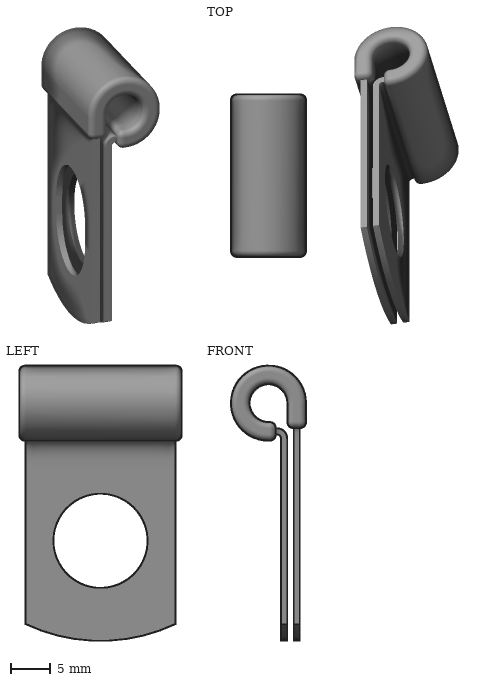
import cadquery as cq
import math

DIAGONAL = math.sqrt(0.5)
UPRIGHT = 90

loop_diameter = 9.55
overall_height = 34.925
strip_thickness = 0.80625
strip_width = 19.05
cushion_thickness = 0.79375
long_end_straight = 2.38125
short_end_straight = 0.14
bend_inner_radius = 0.5
hole_diameter = 11.90625
slot_length = 14.2875
hole_height = 12.7
tip_sagitta = 2.15

loop_radius = loop_diameter / 2
strip_outer_radius = loop_radius - cushion_thickness
strip_inner_radius = strip_outer_radius - strip_thickness
bore_radius = strip_inner_radius - cushion_thickness
cushion_width = strip_width + 2 * cushion_thickness
bottom_z = loop_radius - overall_height

bend_outer_radius = bend_inner_radius + strip_thickness
inner_leg_right = bore_radius
inner_leg_left = inner_leg_right - strip_thickness
outer_leg_left = strip_inner_radius
bend_center_x = inner_leg_right - bend_outer_radius
bend_center_z = -strip_inner_radius - bend_outer_radius

half_width = strip_width / 2


def loop_profile(outer_radius, inner_radius, long_end_z, short_end_x):
    """Three-quarter loop in XZ, open at the lower right, with a straight run at each end."""
    return (
        cq.Workplane("XZ")
        .moveTo(outer_radius, long_end_z)
        .lineTo(outer_radius, 0)
        .threePointArc((-outer_radius * DIAGONAL, outer_radius * DIAGONAL), (0, -outer_radius))
        .lineTo(short_end_x, -outer_radius)
        .lineTo(short_end_x, -inner_radius)
        .lineTo(0, -inner_radius)
        .threePointArc((-inner_radius * DIAGONAL, inner_radius * DIAGONAL), (inner_radius, 0))
        .lineTo(inner_radius, long_end_z)
        .close()
    )


def make_cushion():
    """Cover around the loop, with every edge rounded about the strip inside it."""
    long_end_z = -long_end_straight - cushion_thickness
    short_end_x = short_end_straight + cushion_thickness
    profile = loop_profile(loop_radius, bore_radius, long_end_z, short_end_x)
    body = profile.extrude(cushion_width / 2, both=True)
    return body.edges().fillet(cushion_thickness)


def make_bend():
    """Quarter bend that turns the strip from the bottom of the loop down into the inner leg."""
    return (
        cq.Workplane("XZ")
        .moveTo(bend_center_x, -strip_inner_radius)
        .threePointArc(
            (bend_center_x + bend_outer_radius * DIAGONAL, bend_center_z + bend_outer_radius * DIAGONAL),
            (inner_leg_right, bend_center_z),
        )
        .lineTo(inner_leg_left, bend_center_z)
        .threePointArc(
            (bend_center_x + bend_inner_radius * DIAGONAL, bend_center_z + bend_inner_radius * DIAGONAL),
            (bend_center_x, -strip_outer_radius),
        )
        .close()
        .extrude(half_width, both=True)
    )


def make_leg(left_x, top_z):
    """Flat leg with a curved lower end."""
    side_end_z = bottom_z + tip_sagitta
    return (
        cq.Workplane("YZ", origin=(left_x, 0, 0))
        .moveTo(-half_width, top_z)
        .lineTo(-half_width, side_end_z)
        .threePointArc((0, bottom_z), (half_width, side_end_z))
        .lineTo(half_width, top_z)
        .close()
        .extrude(strip_thickness)
    )


def hole_workplane(left_x):
    """Plane on the -X face of a leg, centred on its mounting hole."""
    return cq.Workplane("YZ", origin=(left_x, 0, bottom_z + hole_height))


def make_round_hole(left_x):
    """Cutter for the round hole."""
    return hole_workplane(left_x).circle(hole_diameter / 2).extrude(strip_thickness)


def make_slot(left_x):
    """Cutter for the upright slot with round ends."""
    return hole_workplane(left_x).slot2D(slot_length, hole_diameter, UPRIGHT).extrude(strip_thickness)


strip_loop = loop_profile(
    strip_outer_radius, strip_inner_radius, -long_end_straight, bend_center_x
).extrude(half_width, both=True)

inner_leg = make_leg(inner_leg_left, bend_center_z).cut(make_round_hole(inner_leg_left))
outer_leg = make_leg(outer_leg_left, -long_end_straight).cut(make_slot(outer_leg_left))

result = make_cushion().union(strip_loop).union(make_bend()).union(inner_leg).union(outer_leg)